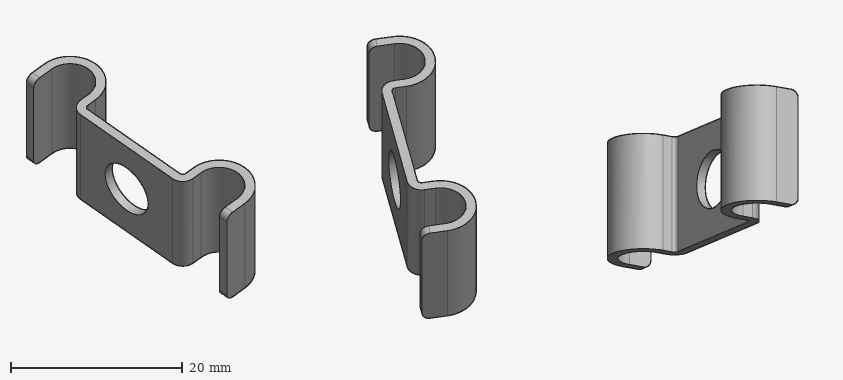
import cadquery as cq
import math

length = 32.8
width = 14.0
thickness = 1.2
hook_radius = 4.2
leg_height = 3.02
bend_inner_radius = 0.5
hole_diameter = 7.02
corner_radius = 1.0

hook_inner_radius = hook_radius - thickness
bend_outer_radius = bend_inner_radius + thickness
hook_x = -length / 2 + hook_radius
bend_x = hook_x + hook_radius + bend_inner_radius
diagonal = math.sqrt(0.5)


def half_strip():
    """Left half of the clip, with the plate's front face on Y = 0."""
    outer_left = hook_x - hook_radius
    outer_right = hook_x + hook_radius
    inner_left = hook_x - hook_inner_radius
    inner_right = hook_x + hook_inner_radius
    inner_offset = bend_inner_radius * diagonal
    outer_offset = bend_outer_radius * diagonal
    return (
        cq.Workplane("XY")
        .moveTo(outer_left, 0)
        .lineTo(outer_left, leg_height)
        .threePointArc((hook_x, leg_height + hook_radius), (outer_right, leg_height))
        .lineTo(outer_right, bend_outer_radius)
        .threePointArc(
            (bend_x - inner_offset, bend_outer_radius - inner_offset),
            (bend_x, thickness),
        )
        .lineTo(0, thickness)
        .lineTo(0, 0)
        .lineTo(bend_x, 0)
        .threePointArc(
            (bend_x - outer_offset, bend_outer_radius - outer_offset),
            (inner_right, bend_outer_radius),
        )
        .lineTo(inner_right, leg_height)
        .threePointArc((hook_x, leg_height + hook_inner_radius), (inner_left, leg_height))
        .lineTo(inner_left, 0)
        .close()
        .extrude(width / 2, both=True)
    )


def round_leg_tip(half):
    """Round the two corners at the tip of the free leg."""
    tip_corners = cq.selectors.BoxSelector(
        (-length / 2 - thickness, -thickness / 2, -width),
        (-length / 2 + thickness, thickness / 2, width),
    )
    return half.edges("|X").edges(tip_corners).fillet(corner_radius)


left_half = round_leg_tip(half_strip())
clip = left_half.union(left_half.mirror("YZ")).clean()

hole = cq.Workplane("XZ").circle(hole_diameter / 2).extrude(2 * thickness, both=True)
result = clip.cut(hole)